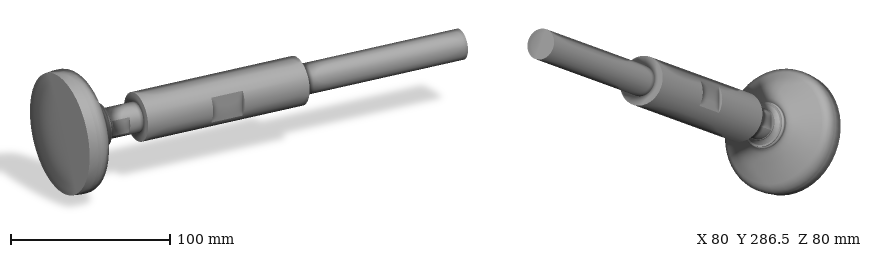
import cadquery as cq
import math

overall_length = 286.5

foot_radius = 40.0
base_radius = 39.4
rim_bottom = 6.0
rim_top = 9.0
shoulder_radius = 7.5
cone_slope = math.radians(25)

seal_radius = 15.0
seal_edge_radius = 14.2
seal_bottom = 25.4
bulge_bottom = 26.3
bulge_top = 28.7
seal_top = 29.7
collar_radius = 13.0
lip_radius = 10.4
lip_height = 0.9
foot_height = 32.7

rod_radius = 10.0
stud_flats_across = 17.0
stud_flats_length = 12.3

sleeve_radius = 16.0
sleeve_start = 54.5
sleeve_length = 115.5
sleeve_end = sleeve_start + sleeve_length
sleeve_flats_across = 27.0
sleeve_flats_length = 22.5
bore_depth = sleeve_length / 2

base_y = -overall_length / 2


def cylinder(radius, start, length):
    """Cylinder along +Y, starting at the given height above the foot's base."""
    origin = (0, base_y + start, 0)
    plane = cq.Plane(origin=origin, xDir=(1, 0, 0), normal=(0, 1, 0))
    return cq.Workplane(plane).circle(radius).extrude(length)


def flats_cutter(across, radius, start, length):
    """Two blocks that cut a pair of opposite flats, facing -X and +X."""
    depth = radius - across / 2
    offset = (across + depth) / 2
    middle_y = base_y + start + length / 2
    return (
        cq.Workplane("XY")
        .pushPoints([(-offset, middle_y), (offset, middle_y)])
        .box(depth, length, 2 * radius)
    )


def make_foot_plate():
    """Revolved foot plate: tapered rim, rounded shoulder, cone and stepped neck seal."""
    arc_center_r = foot_radius - shoulder_radius
    normal_angle = math.pi / 2 - cone_slope

    def shoulder_point(angle):
        return (
            arc_center_r + shoulder_radius * math.cos(angle),
            rim_top + shoulder_radius * math.sin(angle),
        )

    shoulder_end = shoulder_point(normal_angle)
    cone_top_radius = shoulder_end[0] - (seal_bottom - shoulder_end[1]) / math.tan(cone_slope)
    profile = (
        cq.Workplane("XY", origin=(0, base_y, 0))
        .lineTo(base_radius, 0)
        .lineTo(foot_radius, rim_bottom)
        .lineTo(foot_radius, rim_top)
        .threePointArc(shoulder_point(normal_angle / 2), shoulder_end)
        .lineTo(cone_top_radius, seal_bottom)
        .lineTo(seal_edge_radius, seal_bottom)
        .lineTo(seal_edge_radius, bulge_bottom)
        .threePointArc((seal_radius, (bulge_bottom + bulge_top) / 2), (seal_edge_radius, bulge_top))
        .lineTo(seal_edge_radius, seal_top)
        .lineTo(collar_radius, seal_top)
        .lineTo(lip_radius, foot_height - lip_height)
        .lineTo(lip_radius, foot_height)
        .lineTo(0, foot_height)
        .close()
    )
    return profile.revolve(360, (0, 0, 0), (0, 1, 0))


def make_foot():
    """Foot plate and its stud, which has a pair of wrench flats just above the neck."""
    stud = cylinder(rod_radius, foot_height, sleeve_start + bore_depth - foot_height)
    flats = flats_cutter(stud_flats_across, rod_radius, foot_height, stud_flats_length)
    return make_foot_plate().union(stud.cut(flats))


def make_sleeve():
    """Sleeve with a blind bore for the stud, wrench flats at mid-length and the upper rod."""
    body = cylinder(sleeve_radius, sleeve_start, sleeve_length)
    bore = cylinder(rod_radius, sleeve_start, bore_depth)
    rod = cylinder(rod_radius, sleeve_end, overall_length - sleeve_end)
    flats_start = sleeve_start + (sleeve_length - sleeve_flats_length) / 2
    flats = flats_cutter(sleeve_flats_across, sleeve_radius, flats_start, sleeve_flats_length)
    return body.union(rod).cut(bore).cut(flats)


foot = make_foot()
sleeve = make_sleeve()

result = cq.Compound.makeCompound([foot.val(), sleeve.val()])